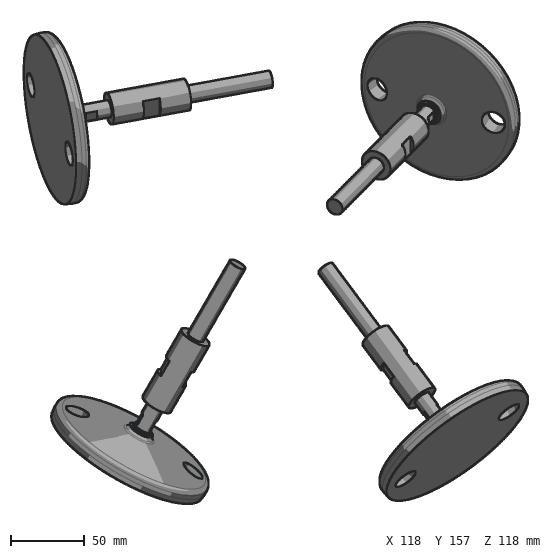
import cadquery as cq
import math

TOTAL_LENGTH = 157.0

FOOT_RADIUS = 59.0
FOOT_BASE_RADIUS = 58.5
RIM_TAPER_TOP = 4.1
RIM_TOP = 7.0
SHOULDER_RADIUS = 55.4
SHOULDER_HEIGHT = 10.0

CONE_TOP_RADIUS = 10.8
CONE_TOP_HEIGHT = 17.5
NECK_RADIUS = 8.2
NECK_HEIGHT = 20.1
LIP_RADIUS = 9.0
LIP_HEIGHT = 20.9
LIP_TOP_RADIUS = 7.2
LIP_TOP_HEIGHT = 21.5
COLLAR_RADIUS = 6.3
FOOT_TOP_HEIGHT = 22.3
NECK_FILLET = 2.4
EDGE_TOLERANCE = 0.2

CONE_SLOPE = (CONE_TOP_HEIGHT - SHOULDER_HEIGHT) / (SHOULDER_RADIUS - CONE_TOP_RADIUS)
CONE_ANGLE = math.atan(CONE_SLOPE)
BOLT_HOLE_DIAMETER = 16.5
BOLT_HOLE_OFFSET = 42.7
BOLT_HOLE_OVERRUN = 6.3

STUD_DIAMETER = 12.0
STUD_FLATS_WIDTH = 9.9
STUD_FLATS_START = 23.9
STUD_FLATS_END = 31.9

SLEEVE_DIAMETER = 22.0
SLEEVE_START = 42.0
SLEEVE_END = 97.2
SLEEVE_FLATS_WIDTH = 16.8
SLEEVE_FLATS_START = 63.6
SLEEVE_FLATS_END = 75.5


def rod(diameter, start, end):
    """Cylinder along Y between two heights."""
    plane = cq.Plane(origin=(0, start, 0), xDir=(1, 0, 0), normal=(0, 1, 0))
    return cq.Workplane(plane).circle(diameter / 2).extrude(end - start)


def cut_wrench_flats(body, diameter, width, start, end):
    """Cut two opposite flats, facing -X and +X, into a round body."""
    for side in (-1, 1):
        cutter = cq.Workplane("XY").box(diameter, end - start, diameter)
        cutter = cutter.translate((side * (width + diameter) / 2, (start + end) / 2, 0))
        body = body.cut(cutter)
    return body


def make_foot_blank():
    """Revolved disc with a rounded rim, a conical back, a lipped neck and a tapered collar."""
    profile = (
        cq.Workplane("XY")
        .lineTo(FOOT_BASE_RADIUS, 0)
        .lineTo(FOOT_RADIUS, RIM_TAPER_TOP)
        .lineTo(FOOT_RADIUS, RIM_TOP)
        .tangentArcPoint((SHOULDER_RADIUS, SHOULDER_HEIGHT), relative=False)
        .lineTo(CONE_TOP_RADIUS, CONE_TOP_HEIGHT)
        .lineTo(NECK_RADIUS, NECK_HEIGHT)
        .lineTo(LIP_RADIUS, LIP_HEIGHT)
        .lineTo(LIP_TOP_RADIUS, LIP_TOP_HEIGHT)
        .lineTo(COLLAR_RADIUS, LIP_TOP_HEIGHT)
        .lineTo(STUD_DIAMETER / 2, FOOT_TOP_HEIGHT)
        .lineTo(0, FOOT_TOP_HEIGHT)
        .close()
    )
    blank = profile.revolve(360, (0, 0, 0), (0, 1, 0))
    neck_corner = cq.selectors.BoxSelector(
        (-FOOT_RADIUS, CONE_TOP_HEIGHT - EDGE_TOLERANCE, -FOOT_RADIUS),
        (FOOT_RADIUS, CONE_TOP_HEIGHT + EDGE_TOLERANCE, FOOT_RADIUS),
    )
    return blank.edges(neck_corner).fillet(NECK_FILLET)


def make_bolt_hole(side):
    """Cutter for one bolt hole, leaning outward at the cone angle."""
    axis = cq.Vector(side * math.sin(CONE_ANGLE), math.cos(CONE_ANGLE), 0)
    start = cq.Vector(side * BOLT_HOLE_OFFSET, 0, 0) - axis * BOLT_HOLE_OVERRUN
    length = CONE_TOP_HEIGHT + 2 * BOLT_HOLE_OVERRUN
    return cq.Solid.makeCylinder(BOLT_HOLE_DIAMETER / 2, length, start, axis)


def make_foot():
    foot = make_foot_blank()
    for side in (-1, 1):
        foot = foot.cut(cq.Workplane(make_bolt_hole(side)))
    return foot


def make_stud():
    """Round rod standing on the foot, with wrench flats near its lower end."""
    stud = rod(STUD_DIAMETER, FOOT_TOP_HEIGHT, TOTAL_LENGTH)
    return cut_wrench_flats(stud, STUD_DIAMETER, STUD_FLATS_WIDTH, STUD_FLATS_START, STUD_FLATS_END)


def make_sleeve():
    """Round sleeve around the stud, with wrench flats at mid length."""
    sleeve = rod(SLEEVE_DIAMETER, SLEEVE_START, SLEEVE_END)
    sleeve = sleeve.cut(rod(STUD_DIAMETER, SLEEVE_START, SLEEVE_END))
    return cut_wrench_flats(
        sleeve, SLEEVE_DIAMETER, SLEEVE_FLATS_WIDTH, SLEEVE_FLATS_START, SLEEVE_FLATS_END
    )


foot = make_foot()
stud = make_stud()
sleeve = make_sleeve()

result = cq.Compound.makeCompound([foot.val(), stud.val(), sleeve.val()])